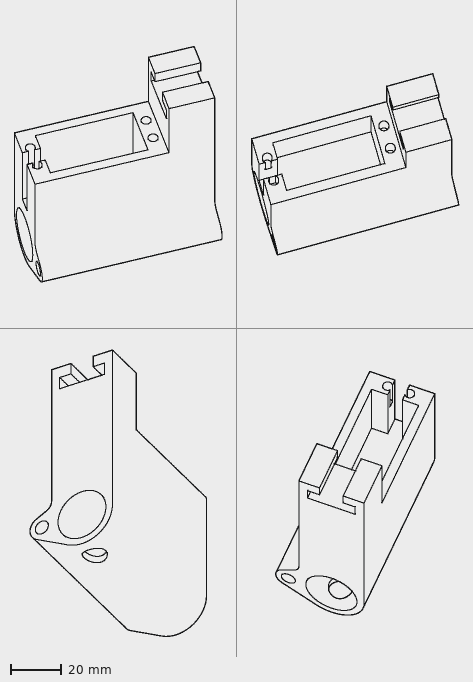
import cadquery as cq
import math

height = 88.4
length = 74.95
body_width = 28.0
barrel_radius = body_width / 2
top_z = height - barrel_radius

bore_diameter = 22.0
lug_offset = 18.5
lug_radius = 5.5
lug_hole_diameter = 6.0
lug_fillet = 4.4

tower_depth = 19.1
tower_height = 27.2
lip_thickness = 5.0
lip_gap = 10.2
t_slot_width = 20.5
t_slot_depth = 10.4

pocket_width = 20.2
pocket_length = 40.7
pocket_depth = 28.6
front_wall = 7.6
front_slot_width = 6.3

screw_diameter = 4.0
screw_spacing = 9.5
screw_depth = 12.4
drain_diameter = 10.0
drain_from_back = 10.2

tower_front = length - tower_depth
deck_z = top_z - tower_height
pocket_back = front_wall + pocket_length


def box_between(x_size, y_start, y_end, z_start, z_end):
    """Box centred on X, spanning the given Y and Z limits."""
    return (
        cq.Workplane("XY")
        .box(x_size, y_end - y_start, z_end - z_start, centered=(True, False, False))
        .translate((0, y_start, z_start))
    )


def full_length_cylinder(x, diameter):
    """Cylinder along Y over the whole length of the part."""
    return cq.Workplane("XZ").center(x, 0).circle(diameter / 2).extrude(-length)


def make_body():
    """Body, barrel and tangent lug as one profile, with the deck in front of the tower cut down."""
    tangent_angle = math.asin((barrel_radius - lug_radius) / lug_offset)
    normal_x = math.sin(tangent_angle)
    normal_z = math.cos(tangent_angle)
    lug_tangent_x = lug_offset + lug_radius * normal_x
    lug_tangent_z = lug_radius * normal_z
    corner_z = lug_tangent_z + (lug_tangent_x - barrel_radius) * math.tan(tangent_angle)
    arc_mid = -barrel_radius * math.sqrt(0.5)

    profile = (
        cq.Workplane("XZ")
        .moveTo(-barrel_radius, top_z)
        .lineTo(-barrel_radius, 0)
        .threePointArc((arc_mid, arc_mid), (barrel_radius * normal_x, -barrel_radius * normal_z))
        .lineTo(lug_tangent_x, -lug_tangent_z)
        .threePointArc((lug_offset + lug_radius, 0), (lug_tangent_x, lug_tangent_z))
        .lineTo(barrel_radius, corner_z)
        .lineTo(barrel_radius, top_z)
        .close()
    )
    body = profile.extrude(-length)
    corner = cq.selectors.NearestToPointSelector((barrel_radius, length / 2, corner_z))
    body = body.edges("|Y").edges(corner).fillet(lug_fillet)
    return body.cut(box_between(body_width, 0, tower_front, deck_z, top_z))


def make_t_slot():
    """T-slot running through the top of the tower."""
    neck = box_between(lip_gap, tower_front, length, top_z - t_slot_depth, top_z)
    head = box_between(
        t_slot_width, tower_front, length, top_z - t_slot_depth, top_z - lip_thickness
    )
    return neck.union(head)


def make_pocket():
    """Rectangular pocket with a slot of the same depth out through the front wall."""
    floor_z = deck_z - pocket_depth
    pocket = box_between(pocket_width, front_wall, pocket_back, floor_z, deck_z)
    slot = box_between(front_slot_width, 0, pocket_back, floor_z, deck_z)
    return pocket.union(slot)


def make_screw_holes():
    """Two pairs of blind holes, centred on the lands in front of and behind the pocket."""
    land_centres = (front_wall / 2, (pocket_back + tower_front) / 2)
    points = [(side * screw_spacing / 2, y) for side in (-1, 1) for y in land_centres]
    return (
        cq.Workplane("XY", origin=(0, 0, deck_z))
        .pushPoints(points)
        .circle(screw_diameter / 2)
        .extrude(-screw_depth)
    )


def make_drain_hole():
    """Vertical hole from the bore out through the bottom of the barrel."""
    return (
        cq.Workplane("XY", origin=(0, length - drain_from_back, 0))
        .circle(drain_diameter / 2)
        .extrude(-barrel_radius)
    )


result = (
    make_body()
    .cut(full_length_cylinder(0, bore_diameter))
    .cut(full_length_cylinder(lug_offset, lug_hole_diameter))
    .cut(make_t_slot())
    .cut(make_pocket())
    .cut(make_screw_holes())
    .cut(make_drain_hole())
)